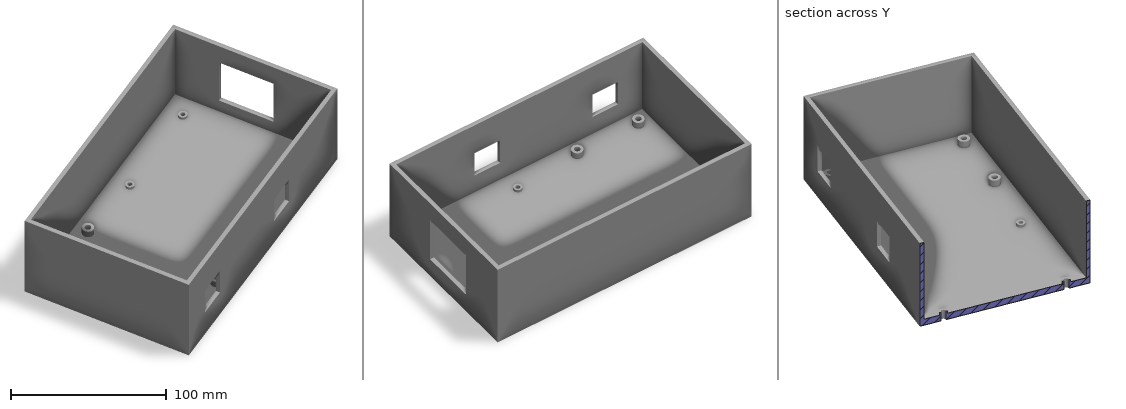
import cadquery as cq

width = 120.0
length = 200.0
height = 65.0
wall = 3.0
floor = 5.0

rear_post_diameter = 6.0
rear_hole_diameter = 3.2
rear_post_height = 2.0
rear_post_spacing_x = 86.5
rear_post_spacing_y = 71.2
rear_post_center_y = 46.5

front_post_diameter = 8.0
front_hole_diameter = 4.2
front_post_height = 5.0
front_post_spacing_x = 94.0
front_post_spacing_y = 48.2
front_post_center_y = -62.8

back_window_width = 40.0
back_window_height = 35.0
back_window_center_x = -5.0
back_window_sill = 15.0

side_window_size = 20.0
side_window_sill = 20.0
side_window_centers_y = (25.0, -68.0)


def make_tray():
    outer = cq.Workplane("XY").box(width, length, height, centered=(True, True, False))
    cavity = (
        cq.Workplane("XY")
        .workplane(offset=floor)
        .rect(width - 2 * wall, length - 2 * wall)
        .extrude(height - floor)
    )
    return outer.cut(cavity)


def post_pattern(spacing_x, spacing_y, center_y, base_z):
    """Corners of a rectangle, one for each of four standoffs."""
    return (
        cq.Workplane("XY", origin=(0, center_y, base_z))
        .rect(spacing_x, spacing_y, forConstruction=True)
        .vertices()
    )


def add_posts(body, spacing_x, spacing_y, center_y, diameter, hole_diameter, post_height, hole_bottom):
    """Add four standoffs and drill each from its top down to hole_bottom."""
    top = floor + post_height
    posts = post_pattern(spacing_x, spacing_y, center_y, 0).circle(diameter / 2).extrude(top)
    holes = (
        post_pattern(spacing_x, spacing_y, center_y, hole_bottom)
        .circle(hole_diameter / 2)
        .extrude(top - hole_bottom)
    )
    return body.union(posts).cut(holes)


def cut_back_window(body):
    window = cq.Workplane("XY").box(
        back_window_width, wall, back_window_height, centered=(True, True, False)
    )
    return body.cut(window.translate((back_window_center_x, (length - wall) / 2, back_window_sill)))


def cut_side_windows(body):
    window = cq.Workplane("XY").box(
        wall, side_window_size, side_window_size, centered=(True, True, False)
    )
    for center_y in side_window_centers_y:
        body = body.cut(window.translate(((width - wall) / 2, center_y, side_window_sill)))
    return body


result = make_tray()
result = add_posts(
    result,
    rear_post_spacing_x,
    rear_post_spacing_y,
    rear_post_center_y,
    rear_post_diameter,
    rear_hole_diameter,
    rear_post_height,
    hole_bottom=0,
)
result = add_posts(
    result,
    front_post_spacing_x,
    front_post_spacing_y,
    front_post_center_y,
    front_post_diameter,
    front_hole_diameter,
    front_post_height,
    hole_bottom=floor,
)
result = cut_back_window(result)
result = cut_side_windows(result)